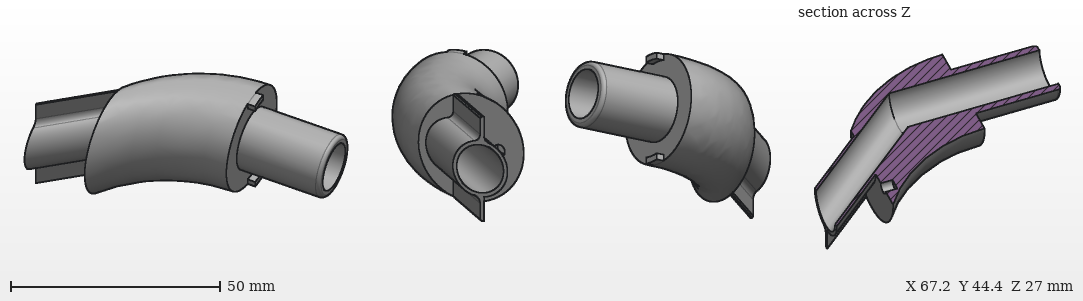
import cadquery as cq
import math

body_diameter = 27.0
body_length = 30.0
body_drop = 15.7
body_stations = 13

shank_diameter = 16.0
shank_length = 22.0
shank_fillet = 1.0

key_width = 4.35
key_length = 2.0
key_inner_radius = 12.0

tube_diameter = 14.0
bore_diameter = 12.0
tube_reach = 15.24
tube_angle = 40.0
tube_end_y = -23.88

fin_thickness = 1.0
fin_half_span = 13.05
fin_edge_chamfer = 0.4
fin_front_fillet = 2.0
fin_back_fillet = 1.8

pin_hole_diameter = 3.0
pin_hole_depth = 3.0
pin_hole_y = -22.8

body_radius = body_diameter / 2
tube_radius = tube_diameter / 2
bore_radius = bore_diameter / 2
tube_slope = math.tan(math.radians(tube_angle))
tube_end_x = -body_length - tube_reach
tube_root_y = tube_end_y + tube_reach * tube_slope
bend_x = -body_length - tube_root_y / tube_slope
arc_radius = (body_length**2 + body_drop**2) / (2 * body_drop)
arc_angle = math.asin(body_length / arc_radius)


def plane_at(x, y=0.0):
    """Work plane facing +X; its local axes are the part's Y and Z."""
    return cq.Workplane("YZ", origin=(x, y, 0))


def slanted_prism(section, end_x, end_y):
    """Carry a section from the tube end to (end_x, end_y) without turning it."""
    path = cq.Workplane("XY").moveTo(tube_end_x, tube_end_y).lineTo(end_x, end_y)
    return section.sweep(path)


def make_body():
    wires = []
    for i in range(body_stations):
        angle = arc_angle * i / (body_stations - 1)
        x = -arc_radius * math.sin(angle)
        y = -arc_radius * (1 - math.cos(angle))
        wires.append(cq.Wire.makeCircle(body_radius, cq.Vector(x, y, 0), cq.Vector(1, 0, 0)))
    return cq.Workplane(cq.Solid.makeLoft(wires))


def make_shank():
    shank = plane_at(0).circle(shank_diameter / 2).extrude(shank_length)
    return shank.faces(">X").edges().fillet(shank_fillet)


def make_keys():
    rim = plane_at(0).circle(body_radius).circle(key_inner_radius).extrude(key_length)
    strip = plane_at(0).rect(key_width, body_diameter).extrude(key_length)
    return rim.intersect(strip)


def make_tube():
    section = plane_at(tube_end_x, tube_end_y).circle(tube_radius)
    return slanted_prism(section, -body_length, tube_root_y)


def fillet_against_tube(face_y, side, radius):
    """Fillet between the tube and a fin face: start, middle and end points (Y, Z)."""
    centre_y = face_y + side * radius
    centre_distance = tube_radius + radius
    centre_z = math.sqrt(centre_distance**2 - centre_y**2)
    scale = tube_radius / centre_distance
    on_tube = (centre_y * scale, centre_z * scale)
    on_fin = (face_y, centre_z)
    toward_y = (on_tube[0] + on_fin[0]) / 2 - centre_y
    toward_z = (on_tube[1] + on_fin[1]) / 2 - centre_z
    stretch = radius / math.hypot(toward_y, toward_z)
    middle = (centre_y + toward_y * stretch, centre_z + toward_z * stretch)
    return on_tube, middle, on_fin


def make_fin(has_front_fillet):
    """Fin above the tube; without the front fillet its -Y face meets the tube sharply."""
    section = plane_at(tube_end_x, tube_end_y)
    if has_front_fillet:
        front_start, front_middle, front_fin = fillet_against_tube(-fin_thickness, -1, fin_front_fillet)
        section = section.moveTo(*front_start).threePointArc(front_middle, front_fin)
    else:
        front_start = (-fin_thickness, math.sqrt(tube_radius**2 - fin_thickness**2))
        section = section.moveTo(*front_start)
    back_tube, back_middle, back_fin = fillet_against_tube(0, 1, fin_back_fillet)
    section = (
        section.lineTo(-fin_thickness, fin_half_span)
        .lineTo(-fin_edge_chamfer, fin_half_span)
        .lineTo(0, fin_half_span - fin_edge_chamfer)
        .lineTo(*back_fin)
        .threePointArc(back_middle, back_tube)
        .threePointArc((0, tube_radius), front_start)
        .close()
    )
    return slanted_prism(section, -body_length, tube_root_y)


def make_bore():
    """Passage through the tube, bending onto the X axis and out of the shank."""
    section = plane_at(tube_end_x, tube_end_y).circle(bore_radius)
    slanted = slanted_prism(section, bend_x, 0)
    straight = plane_at(bend_x).circle(bore_radius).extrude(shank_length - bend_x)
    return slanted.union(straight)


def make_pin_hole():
    return plane_at(-body_length, pin_hole_y).circle(pin_hole_diameter / 2).extrude(pin_hole_depth)


upper_fin = make_fin(has_front_fillet=True)
lower_fin = make_fin(has_front_fillet=False).mirror("XY")

result = (
    make_body()
    .union(make_shank())
    .union(make_keys())
    .union(make_tube())
    .union(upper_fin)
    .union(lower_fin)
    .cut(make_bore())
    .cut(make_pin_hole())
)